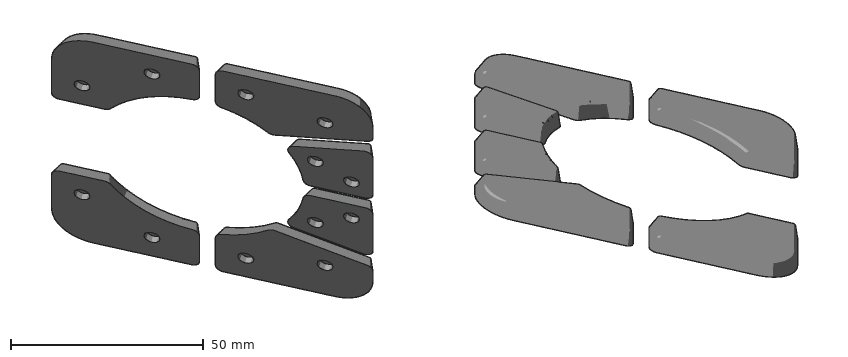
import cadquery as cq
import math

thickness = 4.0
wall_draft = 22.5
back_edge_radius = 1.0
corner_radius = 2.2

frame_width = 86.4
frame_height = 88.4
left_side = -39.2
right_side = left_side + frame_width
half_height = frame_height / 2
opening_radius = 28.65
left_outer_radius = 11.2
right_outer_radius = 10.2

gap = 4.2
left_pad_end = 0.6
right_pad_start = left_pad_end + gap
left_pad_rise = 15.8
split_angle = 14.15
split_rise = 25.5

hole_diameter = 4.2
hole_depth = 2.0
left_holes = [(-12.2, 36.0), (-31.0, 24.0)]
right_holes = [(13.0, 36.0), (34.3, 31.4)]
side_holes = [(31.7, 13.45), (41.4, 7.9)]

front = cq.Plane(origin=(0, 0, 0), xDir=(1, 0, 0), normal=(0, 1, 0))


def split_edge(x, side):
    """Point at x on one edge of the sloping gap; side is +1 on the right pad, -1 on the side pad."""
    slope = math.radians(split_angle)
    middle = split_rise + (x - right_side) * math.tan(slope)
    return (x, middle + side * gap / 2 / math.cos(slope))


def trimmed_area(corners):
    """Area between the corners, cut back by the round opening."""
    return cq.Sketch().polygon([*corners, corners[0]]).circle(opening_radius, mode="s")


def pad(outline, hole_centers):
    """Tapered plate with a rounded back edge and blind holes in its front face."""
    plate = cq.Workplane(front).placeSketch(outline).extrude(thickness, taper=wall_draft)
    plate = plate.faces(">Y").edges().fillet(back_edge_radius)
    holes = cq.Workplane(front).pushPoints(hole_centers).circle(hole_diameter / 2).extrude(hole_depth)
    return plate.cut(holes)


def left_pad():
    outline = trimmed_area([
        (left_side, left_pad_rise),
        (left_pad_end, left_pad_rise),
        (left_pad_end, half_height),
        (left_side, half_height),
    ])
    outline = outline.vertices("not (<X and >Y)").fillet(corner_radius).reset()
    outline = outline.vertices("<X and >Y").fillet(left_outer_radius).reset()
    return pad(outline, left_holes)


def right_pad():
    outline = trimmed_area([
        split_edge(right_pad_start, 1),
        split_edge(right_side, 1),
        (right_side, half_height),
        (right_pad_start, half_height),
    ])
    outline = outline.vertices("not (>X and >Y)").fillet(corner_radius).reset()
    outline = outline.vertices(">X and >Y").fillet(right_outer_radius).reset()
    return pad(outline, right_holes)


def side_pad():
    outline = trimmed_area([
        (right_pad_start, gap / 2),
        (right_side, gap / 2),
        split_edge(right_side, -1),
        split_edge(right_pad_start, -1),
    ])
    outline = outline.vertices().fillet(corner_radius).reset()
    return pad(outline, side_holes)


pads = []
for lower_pad in (left_pad(), right_pad(), side_pad()):
    upper_pad = lower_pad.mirror("XY")
    pads += [lower_pad.val(), upper_pad.val()]

result = cq.Compound.makeCompound(pads)